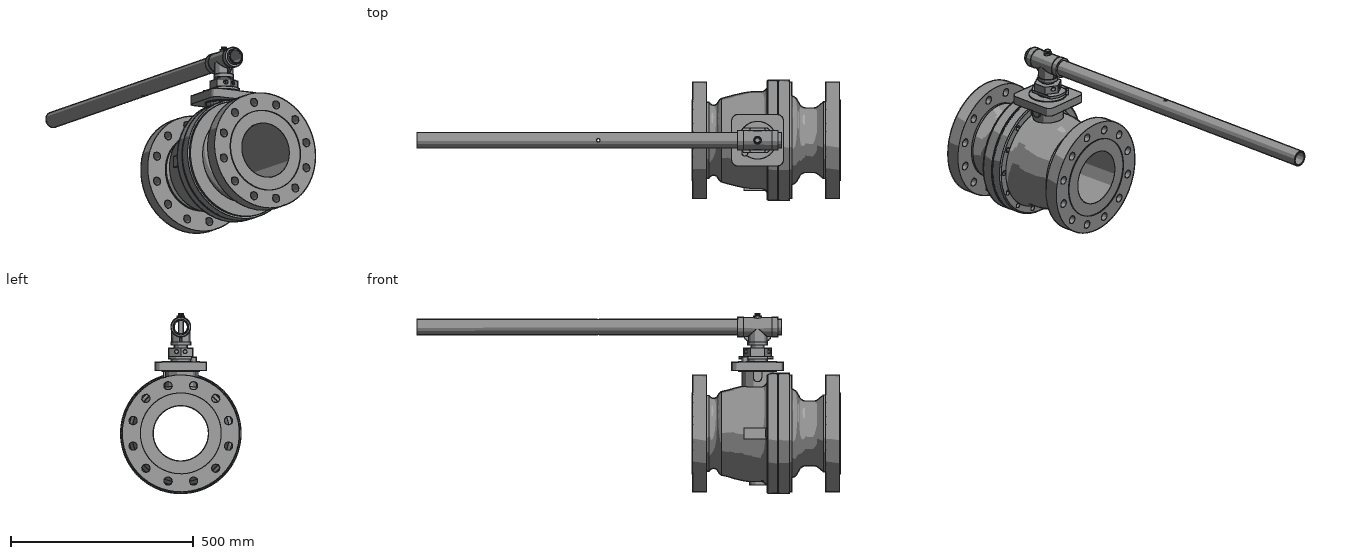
import cadquery as cq
import math


overall_length = 1159.0
overall_height = 493.0

bore_diameter = 151.0
flange_diameter = 320.0
flange_thickness = 38.0
raised_face_diameter = 221.0
raised_face_height = 2.0
flange_bolt_count = 12
flange_bolt_circle = 270.0
flange_bolt_hole = 22.0
left_end = -180.0
right_end = 227.0
left_flange_back = left_end + raised_face_height + flange_thickness
right_flange_back = right_end - raised_face_height - flange_thickness

left_hub_radius = 104.0
left_hub_length = 6.0
left_hub_end = left_flange_back + left_hub_length
left_neck_x = -128.0
left_neck_radius = 99.0
left_neck_hollow = (-118.0, 96.0)
shoulder_start = -109.0
shoulder_start_radius = 103.0
shoulder_x = -99.0
shoulder_radius = 115.0
dome_x = -64.0
dome_radius = 124.0
belly_x = -15.0
belly_end = 10.0
belly_diameter = 267.0
belly_root_radius = 143.0

joint_start = 25.0
joint_split = 58.0
joint_end = 87.0
joint_chamfer = 3.0
inner_joint_diameter = 329.0
outer_joint_diameter = 330.0
step_thickness = 7.0
joint_groove_width = 3.0
joint_groove_depth = 3.0
joint_bolt_count = 14
joint_bolt_circle = 297.0
joint_bolt_hole = 14.0

tail_x = joint_end + step_thickness
tail_radius = 122.0
tail_shoulder_x = 110.0
tail_shoulder_radius = 108.0
tail_step_x = 114.0
tail_step_radius = 102.0
tail_bulge = (103.0, 117.0)
tail_hollow = (120.0, 93.0)
tail_neck_diameter = 177.0
tail_neck_start = 131.0
tail_neck_end = 153.0
tail_taper_x = 163.0
tail_taper_radius = 92.0
tail_hub_x = 181.0
tail_hub_radius = 105.0

side_pad_length = 63.0
side_pad_height = 30.0
side_pad_left = -37.0
side_pad_reach = 138.0
drain_boss_diameter = 44.0
drain_boss_reach = 141.0

neck_diameter = 86.0
lug_width = 23.0
lug_reach = 48.0
lug_bottom = 141.0
plate_size = 141.0
plate_bottom = 172.0
plate_top = 195.0
plate_corner_radius = 17.0
rim_diameter = 103.0
rim_height = 2.0

gland_diameter = 55.0
washer_bottom = 204.0
washer_top = 211.0
washer_width = 67.0
washer_left_reach = 51.0
washer_right_reach = 43.0
nut_across_flats = 66.0
nut_hole_diameter = 10.0
nut_hole_offset = 12.0
nut_hole_height = 224.0
nut_hole_floor = 21.0
nut_top = 233.0
stem_diameter = 36.0
stop_pin_diameter = 16.0
stop_pin_offset = 35.0
stop_pin_top = 209.0

tee_diameter = 52.0
collar_diameter = 55.0
leg_diameter = 51.0
leg_bottom = 241.0
leg_collar_height = 9.0
handle_height = 291.0
tee_left = -55.0
tee_right = 56.0
tee_collar_length = 16.0
gusset_reach = 36.0
gusset_top = 261.0
gusset_thickness = 7.0
tube_diameter = 43.0
tube_bore = 36.0
tube_right = 66.0
tube_left = right_end - overall_length
tube_hole_x = -436.0
tube_hole_diameter = 9.0

screw_diameter = 14.0
screw_neck_diameter = 9.0
screw_collar_diameter = 21.0
screw_collar_height = 3.0
screw_head_height = 3.0
screw_top = overall_height - outer_joint_diameter / 2

overlap = 3.0


def x_rod(diameter, start, end, z=0.0):
    """Solid cylinder along X between two stations."""
    return cq.Workplane("YZ", origin=(start, 0, z)).circle(diameter / 2).extrude(end - start)


def z_rod(diameter, bottom, top, x=0.0, y=0.0):
    """Solid cylinder along Z between two heights."""
    return cq.Workplane("XY", origin=(x, y, bottom)).circle(diameter / 2).extrude(top - bottom)


def bolt_holes(count, circle, diameter, start, end, first_angle):
    """Ring of hole cutters parallel to X."""
    ring = cq.Workplane("YZ", origin=(start, 0, 0))
    ring = ring.polarArray(circle / 2, first_angle, 360, count)
    return ring.circle(diameter / 2).extrude(end - start)


def make_shell():
    """Turned outer form from the left flange to the right one."""
    belly_radius = belly_diameter / 2
    tail_neck_radius = tail_neck_diameter / 2
    outline = (
        cq.Workplane("XY")
        .moveTo(left_flange_back - overlap, 0)
        .lineTo(left_flange_back - overlap, left_hub_radius)
        .lineTo(left_hub_end, left_hub_radius)
        .lineTo(left_neck_x, left_neck_radius)
        .threePointArc(left_neck_hollow, (shoulder_start, shoulder_start_radius))
        .tangentArcPoint((shoulder_x, shoulder_radius), relative=False)
        .lineTo(dome_x, dome_radius)
        .tangentArcPoint((belly_x, belly_radius), relative=False)
        .lineTo(belly_end, belly_radius)
        .tangentArcPoint((joint_start, belly_root_radius), relative=False)
        .lineTo(tail_x, belly_root_radius)
        .lineTo(tail_x, tail_radius)
        .threePointArc(tail_bulge, (tail_shoulder_x, tail_shoulder_radius))
        .lineTo(tail_step_x, tail_step_radius)
        .threePointArc(tail_hollow, (tail_neck_start, tail_neck_radius))
        .lineTo(tail_neck_end, tail_neck_radius)
        .tangentArcPoint((tail_taper_x, tail_taper_radius), relative=False)
        .lineTo(tail_hub_x, tail_hub_radius)
        .lineTo(right_flange_back + overlap, tail_hub_radius)
        .lineTo(right_flange_back + overlap, 0)
        .close()
    )
    return outline.revolve(360, (0, 0, 0), (1, 0, 0))


def make_end_flanges():
    """Drilled end flanges with their raised faces."""
    left = x_rod(flange_diameter, left_end + raised_face_height, left_flange_back)
    left = left.union(x_rod(raised_face_diameter, left_end, left_flange_back))
    right = x_rod(flange_diameter, right_flange_back, right_end - raised_face_height)
    right = right.union(x_rod(raised_face_diameter, right_flange_back, right_end))
    flanges = left.union(right)
    half_pitch = 180 / flange_bolt_count
    for start, end in ((left_end, left_flange_back), (right_flange_back, right_end)):
        flanges = flanges.cut(bolt_holes(
            flange_bolt_count, flange_bolt_circle, flange_bolt_hole, start, end, half_pitch))
    return flanges


def make_joint():
    """Bolted joint rings, with a groove at the split and a thin step on the right."""
    groove_start = joint_split - joint_groove_width
    joint = x_rod(inner_joint_diameter, joint_start, groove_start)
    joint = joint.faces("<X").edges().chamfer(joint_chamfer)
    joint = joint.union(x_rod(inner_joint_diameter - 2 * joint_groove_depth, groove_start, joint_split))
    joint = joint.union(x_rod(outer_joint_diameter, joint_split, joint_end))
    joint = joint.union(x_rod(flange_diameter, joint_end, tail_x))
    holes = bolt_holes(
        joint_bolt_count, joint_bolt_circle, joint_bolt_hole, joint_start, joint_split, 0)
    return joint.cut(holes)


def make_pads():
    """Flat pad on the -Y side and a round drain boss underneath."""
    side = cq.Workplane("XY").box(
        side_pad_length, side_pad_reach, side_pad_height, centered=(False, False, True))
    side = side.translate((side_pad_left, -side_pad_reach, 0))
    return side.union(z_rod(drain_boss_diameter, -drain_boss_reach, 0))


def make_stem_mount():
    """Stem neck with rounded side lugs, carrying a square plate with a raised rim."""
    neck = z_rod(neck_diameter, 0, plate_bottom)
    half_lug = lug_width / 2
    lug_center = lug_bottom + half_lug
    lugs = (
        cq.Workplane("XZ")
        .moveTo(-half_lug, plate_bottom)
        .lineTo(-half_lug, lug_center)
        .threePointArc((0, lug_bottom), (half_lug, lug_center))
        .lineTo(half_lug, plate_bottom)
        .close()
        .extrude(lug_reach, both=True)
    )
    plate = cq.Workplane("XY", origin=(0, 0, plate_bottom)).rect(plate_size, plate_size)
    plate = plate.extrude(plate_top - plate_bottom).edges("|Z").fillet(plate_corner_radius)
    rim = z_rod(rim_diameter, plate_bottom - rim_height, plate_top + rim_height)
    return neck.union(lugs).union(plate).union(rim)


def make_washer():
    """Stop washer with flat sides and a longer reach on its left half."""
    washer = cq.Workplane("XY")
    for reach, side in ((washer_left_reach, -1), (washer_right_reach, 1)):
        half_strip = cq.Workplane("XY").box(reach, washer_width, washer_top, centered=(True, True, False))
        half_strip = half_strip.translate((side * reach / 2, 0, 0))
        washer = washer.add(z_rod(2 * reach, washer_bottom, washer_top).intersect(half_strip))
    return washer.combine()


def make_nut():
    """Hexagon nut with corners on X and two blind holes on each side of those corners."""
    across_corners = nut_across_flats / math.cos(math.pi / 6)
    nut = cq.Workplane("XY", origin=(0, 0, washer_top)).polygon(6, across_corners)
    nut = nut.extrude(nut_top - washer_top)
    for y in (-nut_hole_offset, nut_hole_offset):
        for start, end in ((-across_corners / 2, -nut_hole_floor), (nut_hole_floor, across_corners / 2)):
            nut = nut.cut(x_rod(nut_hole_diameter, start, end, nut_hole_height).translate((0, y, 0)))
    return nut


def make_stem():
    """Gland, stop washer, nut, bare stem and stop pin above the plate."""
    stack = z_rod(gland_diameter, plate_top, washer_bottom)
    stack = stack.union(make_washer()).union(make_nut())
    stack = stack.union(z_rod(stem_diameter, nut_top, leg_bottom))
    pin = z_rod(stop_pin_diameter, plate_top, stop_pin_top, -stop_pin_offset, -stop_pin_offset)
    return stack.union(pin)


def make_gusset():
    """Thin web in the XZ plane between the tee leg and the cross tube."""
    leg_radius = leg_diameter / 2
    collar_top = leg_bottom + leg_collar_height
    return (
        cq.Workplane("XZ")
        .moveTo(-gusset_reach, handle_height)
        .lineTo(-gusset_reach, gusset_top)
        .lineTo(-leg_radius, collar_top)
        .lineTo(leg_radius, collar_top)
        .lineTo(gusset_reach, gusset_top)
        .lineTo(gusset_reach, handle_height)
        .close()
        .extrude(gusset_thickness / 2, both=True)
    )


def make_handle():
    """Tee fitting on the stem with the long lever tube through it."""
    tee = z_rod(leg_diameter, leg_bottom, handle_height)
    tee = tee.union(z_rod(collar_diameter, leg_bottom, leg_bottom + leg_collar_height))
    tee = tee.union(x_rod(tee_diameter, tee_left, tee_right, handle_height))
    for start in (tee_left, tee_right - tee_collar_length):
        tee = tee.union(x_rod(collar_diameter, start, start + tee_collar_length, handle_height))
    tee = tee.union(make_gusset())
    tee = tee.union(x_rod(tube_diameter, tube_left, tube_right, handle_height))
    tee = tee.cut(x_rod(tube_bore, tube_left, tube_right, handle_height))
    cross_hole = z_rod(
        tube_hole_diameter, handle_height - tube_diameter, handle_height + tube_diameter, tube_hole_x)
    return tee.cut(cross_hole)


def make_screw():
    """Locking screw that crosses the lever tube and stands above the tee."""
    collar_bottom = handle_height + tube_bore / 2
    collar_top = handle_height + tee_diameter / 2 + screw_collar_height
    screw = z_rod(screw_diameter, handle_height - tee_diameter / 2, collar_bottom)
    screw = screw.union(z_rod(screw_collar_diameter, collar_bottom, collar_top))
    screw = screw.union(z_rod(screw_neck_diameter, collar_top, screw_top))
    return screw.union(z_rod(screw_diameter, screw_top - screw_head_height, screw_top))


valve = make_shell().union(make_joint()).union(make_pads()).union(make_stem_mount())
valve = valve.union(make_end_flanges())
valve = valve.cut(x_rod(bore_diameter, left_end, right_end))
result = valve.union(make_stem()).union(make_handle()).union(make_screw())